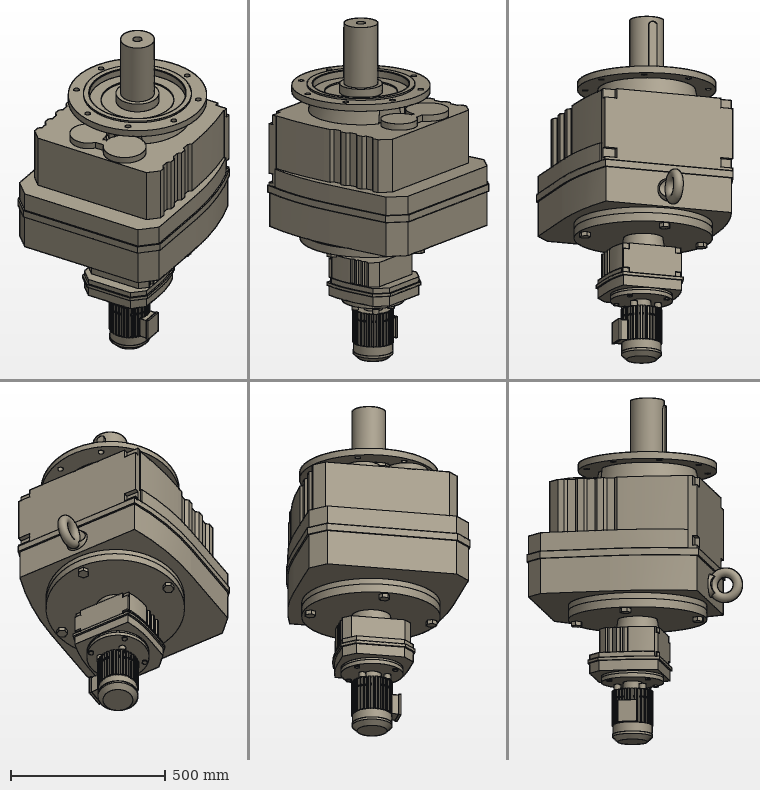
import cadquery as cq
import math


shaft_radius = 55.0
shaft_length = 210.0
centre_hole_radius = 15.0
centre_hole_depth = 45.0
key_width = 28.0
key_top = 61.0
key_bottom_z = 13.0
key_length = 180.0
flange_radius = 224.0
flange_thickness = 22.0
flange_hole_count = 8
flange_hole_radius = 9.0
flange_hole_pitch = 200.0
spigot_radius = 175.0
spigot_height = 6.0
recess_radius = 156.0
recess_floor_z = -19.0
recess_chamfer = 2.0
inner_floor_radius = 118.0
inner_floor_z = -24.0
hub_radius = 70.0

main_cone_top_radius = 158.0
main_cone_bottom_radius = 170.0
cover_height = 21.0
covers = [(-64.0, -202.0, 60.0), (79.0, -209.0, 70.0)]
cover_clearance = 8.0
bridge_width = 29.0
bridge_y = -222.0

main_case = dict(
    top_z=-84.0, shoulder_z=-263.0, lip_top_z=-324.0, lip_bottom_z=-348.0, bottom_z=-463.0,
    back_y=208.0, plate_front_y=178.0, plate_half_width=221.0,
    upper_half_width=239.0, upper_back_half_width=219.0, upper_bow_front_y=-30.0,
    upper_front_y=-282.0, upper_chamfer=34.0,
    lower_half_width=265.0, lower_back_half_width=217.0, lower_bow_front_y=-71.0,
    lower_front_y=-350.0, lower_chamfer=50.0, lip_width=5.0,
    groove_ys=(-75.0, -140.0, -205.0), groove_mouth=44.0, groove_floor=26.0, groove_depth=10.0,
    pocket_width=42.0, pocket_depth=15.0, pocket_height=31.0, lower_pocket_top_z=-283.0,
)
second_case = dict(
    top_z=-554.0, shoulder_z=-636.0, lip_top_z=-653.0, lip_bottom_z=-663.0, bottom_z=-697.0,
    back_y=55.0, plate_front_y=44.0, plate_half_width=100.0,
    upper_half_width=113.0, upper_back_half_width=99.0, upper_bow_front_y=-33.0,
    upper_front_y=-140.0, upper_chamfer=25.0,
    lower_half_width=118.0, lower_back_half_width=100.0, lower_bow_front_y=-56.0,
    lower_front_y=-175.0, lower_chamfer=38.0, lip_width=6.0,
    groove_ys=(-50.0, -75.0, -100.0), groove_mouth=18.0, groove_floor=11.0, groove_depth=6.0,
    pocket_width=20.0, pocket_depth=7.0, pocket_height=19.0, lower_pocket_top_z=-636.0,
)

eye_ring_radius = 42.0
eye_wire_radius = 16.0
eye_y = 257.0
eye_z = -407.0
eye_neck_root_radius = 38.0
eye_neck_tip_radius = 29.0
eye_neck_length = 26.0

adapter_y = -33.0
adapter_radius = 224.0
adapter_split_z = -482.0
adapter_bottom_z = -510.0
adapter_bolt_count = 4
adapter_bolt_pitch = 201.0
adapter_bolt_flats = 31.0
adapter_bolt_height = 13.0
second_cone_top_radius = 64.0
second_cone_bottom_radius = 71.0

motor_y = -49.0
end_disc_radius = 101.0
disc_split_z = -703.0
disc_bottom_z = -717.0
disc_bolt_count = 4
disc_bolt_pitch = 90.0
disc_bolt_flats = 16.0
disc_bolt_height = 5.0
neck_radius = 30.0
lug_radius = 11.0
lug_offset = 42.0
lug_top_z = -730.0
fins_top_z = -747.0
fins_bottom_z = -858.0
fin_root_radius = 58.0
fin_radius = 66.0
fin_count = 36
fin_width = 6.0
fin_ring_radius = 65.0
fin_ring_z = -775.0
fin_ring_height = 3.0
hood_radius = 64.0
hood_bead = 1.0
bead_top_z = -889.0
bead_bottom_z = -896.0
motor_bottom_z = -912.0
hood_end_radius = 48.0
box_reach = 90.0
box_top_z = -792.0
box_width = 58.0
box_lid_thickness = 8.0
box_lid_overhang = 2.0


def cylinder(radius, bottom_z, top_z, x=0.0, y=0.0):
    return cq.Workplane("XY", origin=(x, y, bottom_z)).circle(radius).extrude(top_z - bottom_z)


def cone(top_radius, bottom_radius, bottom_z, top_z, y=0.0):
    return cq.Workplane(
        cq.Solid.makeCone(bottom_radius, top_radius, top_z - bottom_z, cq.Vector(0, y, bottom_z))
    )


def block(width, depth, bottom_z, top_z, x=0.0, y=0.0):
    return cq.Workplane("XY", origin=(x, y, bottom_z)).rect(width, depth).extrude(top_z - bottom_z)


def prism(outline, bottom_z, top_z):
    return outline.extrude(top_z - bottom_z).translate((0, 0, bottom_z))


def add_hex_heads(body, count, pitch, first_angle, y, flats, bottom_z, top_z):
    """Hexagon heads on a circle about (0, y), each with two flats square to the circle's radius."""
    corner_diameter = flats / math.cos(math.pi / 6)
    axis_start = (0, y, 0)
    axis_end = (0, y, 1)
    head = (
        cq.Workplane("XY", origin=(pitch, y, bottom_z))
        .transformed(rotate=(0, 0, 30))
        .polygon(6, corner_diameter)
        .extrude(top_z - bottom_z)
    )
    for i in range(count):
        body = body.union(head.rotate(axis_start, axis_end, first_angle + i * 360 / count))
    return body


def case_outline(half_width, back_half_width, back_y, bow_front_y, front_y, chamfer):
    """Case section: bowed sides narrowing to a straight back, and a chamfered straight front.

    The bow is tangent to the straight side at bow_front_y.
    """
    bow_depth = half_width - back_half_width
    bow_length = back_y - bow_front_y
    bow_radius = (bow_length**2 + bow_depth**2) / (2 * bow_depth)
    mid_y = bow_front_y + bow_length / 2
    mid_x = half_width - bow_radius + math.sqrt(bow_radius**2 - (bow_length / 2) ** 2)
    return (
        cq.Workplane("XY")
        .moveTo(-back_half_width, back_y)
        .lineTo(back_half_width, back_y)
        .threePointArc((mid_x, mid_y), (half_width, bow_front_y))
        .lineTo(half_width, front_y + chamfer)
        .lineTo(half_width - chamfer, front_y)
        .lineTo(chamfer - half_width, front_y)
        .lineTo(-half_width, front_y + chamfer)
        .lineTo(-half_width, bow_front_y)
        .threePointArc((-mid_x, mid_y), (-back_half_width, back_y))
        .close()
    )


def lower_case_outline(case):
    return case_outline(
        case["lower_half_width"], case["lower_back_half_width"], case["back_y"],
        case["lower_bow_front_y"], case["lower_front_y"], case["lower_chamfer"],
    )


def cut_side_grooves(upper, case):
    """Cuts upright grooves of trapezoid section into both straight sides of a case."""
    mouth_x = case["upper_half_width"]
    floor_x = mouth_x - case["groove_depth"]
    half_mouth = case["groove_mouth"] / 2
    half_floor = case["groove_floor"] / 2
    for y in case["groove_ys"]:
        for side in (-1, 1):
            section = cq.Workplane("XY").polyline([
                (side * mouth_x, y + half_mouth),
                (side * floor_x, y + half_floor),
                (side * floor_x, y - half_floor),
                (side * mouth_x, y - half_mouth),
            ]).close()
            upper = upper.cut(prism(section, case["shoulder_z"], case["top_z"]))
    return upper


def make_mounting_plate(case):
    """Plate on the back of a case, with a pocket at each of its four corners."""
    half_width = case["plate_half_width"]
    back_y = case["back_y"]
    front_y = case["plate_front_y"]
    plate = block(
        2 * half_width, back_y - front_y, case["lip_top_z"], case["top_z"], y=(back_y + front_y) / 2
    )
    pocket_x = half_width - case["pocket_width"] / 2
    pocket_y = back_y - case["pocket_depth"] / 2
    for pocket_top_z in (case["top_z"], case["lower_pocket_top_z"]):
        for side in (-1, 1):
            plate = plate.cut(block(
                case["pocket_width"], case["pocket_depth"],
                pocket_top_z - case["pocket_height"], pocket_top_z,
                x=side * pocket_x, y=pocket_y,
            ))
    return plate


def make_gear_case(case):
    """Grooved upper case, mounting plate, wider lower case and the joint lip around it.

    Above the lip, the plate alone fills the back of the case.
    """
    upper_outline = case_outline(
        case["upper_half_width"], case["upper_back_half_width"], case["plate_front_y"],
        case["upper_bow_front_y"], case["upper_front_y"], case["upper_chamfer"],
    )
    lip_outline = lower_case_outline(case).offset2D(case["lip_width"], "intersection")
    upper = cut_side_grooves(prism(upper_outline, case["shoulder_z"], case["top_z"]), case)
    lower = prism(lower_case_outline(case), case["bottom_z"], case["shoulder_z"])
    plate_depth = case["back_y"] - case["plate_front_y"]
    lower = lower.cut(block(
        2 * case["lower_half_width"], plate_depth, case["lip_top_z"], case["shoulder_z"],
        y=case["plate_front_y"] + plate_depth / 2,
    ))
    lip = prism(lip_outline, case["lip_bottom_z"], case["lip_top_z"])
    return upper.union(lower).union(lip).union(make_mounting_plate(case))


def add_cone_and_covers(body):
    """Cone between case and flange, scalloped around two round covers joined by a bridge."""
    case_top_z = main_case["top_z"]
    cover_top_z = case_top_z + cover_height
    flange_back_z = -flange_thickness
    neck = cone(main_cone_top_radius, main_cone_bottom_radius, case_top_z, flange_back_z)
    for x, y, radius in covers:
        neck = neck.cut(cylinder(radius + cover_clearance, case_top_z, flange_back_z, x, y))
    body = body.union(neck)
    for x, y, radius in covers:
        body = body.union(cylinder(radius, case_top_z, cover_top_z, x, y))
    bridge_length = covers[1][0] - covers[0][0]
    bridge_x = (covers[0][0] + covers[1][0]) / 2
    return body.union(
        block(bridge_length, bridge_width, case_top_z, cover_top_z, bridge_x, bridge_y)
    )


def add_output_flange(body):
    """Drilled flange with a spigot and a two-step recess around the shaft hub."""
    body = body.union(cylinder(flange_radius, -flange_thickness, 0))
    body = body.union(cylinder(spigot_radius, 0, spigot_height))
    recess = cylinder(recess_radius, recess_floor_z, spigot_height)
    recess = recess.union(cone(
        recess_radius + recess_chamfer, recess_radius, spigot_height - recess_chamfer, spigot_height
    ))
    recess = recess.union(cylinder(inner_floor_radius, inner_floor_z, recess_floor_z))
    body = body.cut(recess)
    body = body.union(cylinder(hub_radius, inner_floor_z, spigot_height))
    holes = (
        cq.Workplane("XY", origin=(0, 0, -flange_thickness))
        .polarArray(flange_hole_pitch, 180 / flange_hole_count, 360, flange_hole_count)
        .circle(flange_hole_radius)
        .extrude(flange_thickness)
    )
    return body.cut(holes)


def add_output_shaft(body):
    """Shaft with a centre hole in its end and a round-ended key on its +Y side."""
    body = body.union(cylinder(shaft_radius, spigot_height, shaft_length))
    key = (
        cq.Workplane("XZ", origin=(0, key_top, key_bottom_z + key_length / 2))
        .slot2D(key_length, key_width, 90)
        .extrude(key_top)
    )
    body = body.union(key)
    return body.cut(cylinder(centre_hole_radius, shaft_length - centre_hole_depth, shaft_length))


def add_lifting_eye(body):
    """Ring in a plane square to X, on a tapered neck from the back of the case."""
    centre = cq.Vector(0, eye_y, eye_z)
    ring = cq.Solid.makeTorus(eye_ring_radius, eye_wire_radius, centre, cq.Vector(1, 0, 0))
    neck = cq.Solid.makeCone(
        eye_neck_root_radius, eye_neck_tip_radius, eye_neck_length,
        cq.Vector(0, main_case["back_y"], eye_z), cq.Vector(0, 1, 0),
    )
    eye_opening = (
        cq.Workplane("YZ", origin=(-eye_neck_root_radius, eye_y, eye_z))
        .circle(eye_ring_radius)
        .extrude(2 * eye_neck_root_radius)
    )
    return body.union(cq.Workplane(neck).cut(eye_opening)).union(cq.Workplane(ring))


def make_main_gear_unit():
    body = make_gear_case(main_case)
    body = add_cone_and_covers(body)
    body = add_output_flange(body)
    body = add_output_shaft(body)
    body = add_lifting_eye(body)
    return body.union(
        cylinder(adapter_radius, adapter_split_z, main_case["bottom_z"], y=adapter_y)
    )


def make_second_gear_unit():
    body = make_gear_case(second_case)
    body = body.union(cylinder(adapter_radius, adapter_bottom_z, adapter_split_z, y=adapter_y))
    body = body.union(cone(
        second_cone_top_radius, second_cone_bottom_radius,
        second_case["top_z"], adapter_bottom_z, y=adapter_y,
    ))
    body = add_hex_heads(
        body, adapter_bolt_count, adapter_bolt_pitch, 0, adapter_y, adapter_bolt_flats,
        adapter_bottom_z - adapter_bolt_height, adapter_bottom_z,
    )
    return body.union(cylinder(end_disc_radius, disc_split_z, second_case["bottom_z"], y=motor_y))


def make_motor_mount():
    """Bolted disc, a plain neck and four round lugs reaching up from the finned frame."""
    body = cylinder(end_disc_radius, disc_bottom_z, disc_split_z, y=motor_y)
    body = add_hex_heads(
        body, disc_bolt_count, disc_bolt_pitch, 45, motor_y, disc_bolt_flats,
        disc_bottom_z - disc_bolt_height, disc_bottom_z,
    )
    body = body.union(cylinder(neck_radius, fins_top_z, disc_bottom_z, y=motor_y))
    for x in (-lug_offset, lug_offset):
        for y in (-lug_offset, lug_offset):
            body = body.union(cylinder(lug_radius, fins_top_z, lug_top_z, x, motor_y + y))
    return body


def add_finned_frame(body):
    """Round frame with evenly spaced radial fins and one thin ring around them."""
    frame = cylinder(fin_root_radius, fins_bottom_z, fins_top_z)
    fin = block(fin_radius, fin_width, fins_bottom_z, fins_top_z, x=fin_radius / 2)
    for i in range(fin_count):
        frame = frame.union(fin.rotate((0, 0, 0), (0, 0, 1), i * 360 / fin_count))
    frame = frame.union(cylinder(fin_ring_radius, fin_ring_z, fin_ring_z + fin_ring_height))
    return body.union(frame.translate((0, motor_y, 0)))


def add_fan_hood(body):
    """Turned hood with a small bead above its tapered end."""
    bead_radius = hood_radius + hood_bead
    profile = (
        cq.Workplane("XZ")
        .moveTo(0, fins_bottom_z)
        .lineTo(hood_radius, fins_bottom_z)
        .lineTo(hood_radius, bead_top_z)
        .lineTo(bead_radius, bead_top_z)
        .lineTo(bead_radius, bead_bottom_z)
        .lineTo(hood_end_radius, motor_bottom_z)
        .lineTo(0, motor_bottom_z)
        .close()
    )
    hood = profile.revolve(360, (0, 0, 0), (0, 1, 0))
    return body.union(hood.translate((0, motor_y, 0)))


def add_terminal_box(body):
    """Box on the +X side of the frame, closed by a lid slightly larger than it."""
    lid_inner_x = box_reach - box_lid_thickness
    box = block(lid_inner_x, box_width, fins_bottom_z, box_top_z, x=lid_inner_x / 2, y=motor_y)
    lid = block(
        box_lid_thickness, box_width + 2 * box_lid_overhang,
        fins_bottom_z - box_lid_overhang, box_top_z + box_lid_overhang,
        x=box_reach - box_lid_thickness / 2, y=motor_y,
    )
    return body.union(box).union(lid)


def make_motor():
    body = make_motor_mount()
    body = add_finned_frame(body)
    body = add_fan_hood(body)
    return add_terminal_box(body)


main_gear_unit = make_main_gear_unit()
second_gear_unit = make_second_gear_unit()
motor = make_motor()

result = cq.Compound.makeCompound([main_gear_unit.val(), second_gear_unit.val(), motor.val()])